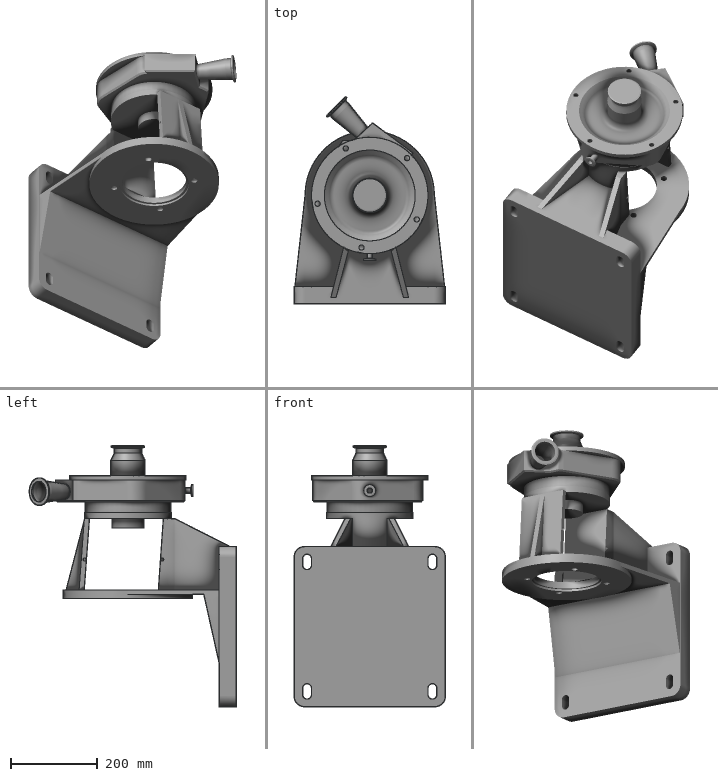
import cadquery as cq
import math


PLATE_WIDTH = 350.0
PLATE_HEIGHT = 370.0
PLATE_THICKNESS = 40.0
PLATE_BACK_Y = -250.0
PLATE_FRONT_Y = PLATE_BACK_Y + PLATE_THICKNESS
PLATE_CORNER_RADIUS = 25.0
SLOT_WIDTH = 20.0
SLOT_LENGTH = 35.0
SLOT_SPACING_X = 289.5
SLOT_SPACING_Z = 299.0

SHELF_THICKNESS = 10.0
SHELF_TOP_Z = 270.0
SHELF_BOTTOM_Z = SHELF_TOP_Z - SHELF_THICKNESS
SHELF_RADIUS = 149.5
SHELF_END_HALF_WIDTH = 173.0
PAD_THICKNESS = 10.0
SHELF_BORE_RADIUS = 75.0
SHELF_RECESS_RADIUS = 80.0
SHELF_RECESS_DEPTH = 5.0
SHELF_BOLT_CIRCLE_RADIUS = 93.5
SHELF_BOLT_DIAMETER = 14.5
SHELF_BOLT_COUNT = 4
SHELF_FIRST_BOLT_ANGLE = 45.0

RIB_THICKNESS = 12.0
WEDGE_FRONT_Y = -175.0
WEDGE_BOTTOM_Z = 101.0
PILLAR_HALF_WIDTH = 57.0
RIB_START_Y = -108.0
RIB_END_SETBACK = 14.5
RIB_END_Y = PLATE_BACK_Y + RIB_END_SETBACK
RIB_END_HALF_WIDTH = 90.0
RIB_INNER_START_X = 40.0
RIB_INNER_START_Y = -91.5
WINDOW_TOP_Y = (-81.5, 88.5)
WINDOW_BOTTOM_Y = (-70.0, 101.0)
BACK_PILLAR_THICKNESS = 12.0
BACK_RIB_BOTTOM_Y = 143.0
PIN_HOLE_DIAMETER = 7.0
PIN_HOLE_Z = 340.0
PIN_HOLE_INSET = 4.0
PIN_HOLE_DEPTH = 12.0

RING_RADIUS = 100.0
RING_BOTTOM_Z = 435.0
RING_TOP_Z = 449.0
NECK_RADIUS = 99.0
SHAFT_RADIUS = 37.5
SHAFT_BOTTOM_Z = 412.5

CASING_BOTTOM_Z = 473.5
CASING_TOP_Z = 524.0
CASING_CORNER_RADIUS = 36.0
CASING_CORNER_CENTRE_RADIUS = 97.0
CASING_CHAMFER = 3.5
CORNER_COUNT = 5
BLOCK_FLAT_LENGTH = 72.0
BLOCK_OUTLINE = [(100.0, 97.5), (6.5, 167.5), (-37.5, 126.5), (-63.0, 126.5)]
FIRST_CORNER_ANGLE = 45.0

COVER_RADIUS = 134.5
COVER_TOP_Z = 533.5
COVER_HOLE_CIRCLE_RADIUS = 122.0
COVER_HOLE_DIAMETER = 12.0
DISH_RIM_RADIUS = 105.0
DISH_CONE_RADIUS = 93.0
DISH_FLOOR_RADIUS = 83.0
DISH_CONE_DEPTH = 10.0
DISH_DEPTH = 14.5

INLET_RADIUS = 40.0
INLET_FILLET_RADIUS = 14.5
INLET_NECK_RADIUS = 32.0
INLET_CONE_BOTTOM_Z = 568.5
INLET_CONE_TOP_Z = 585.5
INLET_FERRULE_RADIUS = 38.5
INLET_TOP_Z = 603.0

OUTLET_Z = 497.0
OUTLET_ANGLE = 135.0
OUTLET_ROOT = (-16.0, 144.0)
OUTLET_LENGTH = 87.5
OUTLET_ROOT_RADIUS = 17.5
OUTLET_RADIUS = 25.5
OUTLET_STRAIGHT_LENGTH = 18.5
OUTLET_WALL = 2.0
OUTLET_FERRULE_RADIUS = 32.0

DRAIN_Z = 499.0
DRAIN_TIP_Y = -151.0
DRAIN_RADIUS = 6.5
DRAIN_BORE_RADIUS = 5.5
DRAIN_BORE_DEPTH = 18.0
DRAIN_FERRULE_RADIUS = 14.0

FERRULE_RIM = 3.5
FERRULE_TAPER = 2.5
FERRULE_BEVEL_WIDTH = 3.0
FERRULE_BEVEL_DEPTH = 0.5


def polar(radius, angle):
    return (radius * math.cos(math.radians(angle)), radius * math.sin(math.radians(angle)))


def cylinder(radius, bottom, top):
    return cq.Workplane("XY").workplane(offset=bottom).circle(radius).extrude(top - bottom)


def prism(points, bottom, top):
    return cq.Workplane("XY").workplane(offset=bottom).polyline(points).close().extrude(top - bottom)


def side_prism(points, half_width):
    """Extrude a (y, z) outline evenly to both sides of X = 0."""
    return cq.Workplane("YZ").polyline(points).close().extrude(half_width, both=True)


def mirrored(body):
    return body.union(body.mirror("YZ"))


def wall_plate():
    middle_z = PLATE_HEIGHT / 2
    plate = (
        cq.Workplane("XY")
        .box(PLATE_WIDTH, PLATE_THICKNESS, PLATE_HEIGHT)
        .edges("|Y").fillet(PLATE_CORNER_RADIUS)
        .translate((0, PLATE_BACK_Y + PLATE_THICKNESS / 2, middle_z))
    )
    slots = (
        cq.Workplane("XZ", origin=(0, PLATE_FRONT_Y, middle_z))
        .rarray(SLOT_SPACING_X, SLOT_SPACING_Z, 2, 2)
        .slot2D(SLOT_LENGTH, SLOT_WIDTH, 90)
        .extrude(PLATE_THICKNESS)
    )
    return plate.cut(slots)


def shelf():
    plate = prism(
        [
            (-SHELF_END_HALF_WIDTH, PLATE_FRONT_Y),
            (-SHELF_RADIUS, 0),
            (SHELF_RADIUS, 0),
            (SHELF_END_HALF_WIDTH, PLATE_FRONT_Y),
        ],
        SHELF_BOTTOM_Z,
        SHELF_TOP_Z,
    )
    pad_bottom = SHELF_BOTTOM_Z - PAD_THICKNESS
    body = cylinder(SHELF_RADIUS, pad_bottom, SHELF_TOP_Z).union(plate)
    body = body.cut(cylinder(SHELF_BORE_RADIUS, pad_bottom, SHELF_TOP_Z))
    body = body.cut(cylinder(SHELF_RECESS_RADIUS, pad_bottom, pad_bottom + SHELF_RECESS_DEPTH))
    bolts = (
        cq.Workplane("XY").workplane(offset=pad_bottom)
        .polarArray(SHELF_BOLT_CIRCLE_RADIUS, SHELF_FIRST_BOLT_ANGLE, 360, SHELF_BOLT_COUNT)
        .circle(SHELF_BOLT_DIAMETER / 2)
        .extrude(SHELF_TOP_Z - pad_bottom)
    )
    return body.cut(bolts)


def lower_wedge():
    """A wedge bracing the shelf from below, flush with the slanted edges of the shelf."""
    edge_slope = (SHELF_END_HALF_WIDTH - SHELF_RADIUS) / -PLATE_FRONT_Y
    front_x = SHELF_RADIUS - WEDGE_FRONT_Y * edge_slope
    plan = prism(
        [
            (front_x, WEDGE_FRONT_Y),
            (SHELF_END_HALF_WIDTH, PLATE_FRONT_Y),
            (-SHELF_END_HALF_WIDTH, PLATE_FRONT_Y),
            (-front_x, WEDGE_FRONT_Y),
        ],
        WEDGE_BOTTOM_Z,
        SHELF_BOTTOM_Z,
    )
    triangle = side_prism(
        [
            (WEDGE_FRONT_Y, SHELF_BOTTOM_Z),
            (PLATE_FRONT_Y, SHELF_BOTTOM_Z),
            (PLATE_FRONT_Y, WEDGE_BOTTOM_Z),
        ],
        PLATE_WIDTH / 2,
    )
    return plan.intersect(triangle)


def front_pillar():
    """A slice of the ring cylinder and two splayed ribs, filled between up to the wall plate top."""
    slab = side_prism(
        [
            (0, SHELF_TOP_Z),
            (0, RING_BOTTOM_Z),
            (-RING_RADIUS, RING_BOTTOM_Z),
            (-RING_RADIUS, SHELF_TOP_Z),
        ],
        PILLAR_HALF_WIDTH,
    )
    slice_body = cylinder(RING_RADIUS, SHELF_TOP_Z, RING_BOTTOM_Z).intersect(slab)
    rib = prism(
        [
            (PILLAR_HALF_WIDTH, 0),
            (PILLAR_HALF_WIDTH, RIB_START_Y),
            (RIB_END_HALF_WIDTH, RIB_END_Y),
            (RIB_END_HALF_WIDTH - RIB_THICKNESS, RIB_END_Y),
            (RIB_INNER_START_X, RIB_INNER_START_Y),
            (RIB_INNER_START_X, 0),
        ],
        SHELF_TOP_Z,
        RING_BOTTOM_Z,
    )
    rib_side = side_prism(
        [
            (0, SHELF_TOP_Z),
            (0, RING_BOTTOM_Z),
            (RIB_START_Y, RING_BOTTOM_Z),
            (RIB_END_Y, PLATE_HEIGHT),
            (RIB_END_Y, SHELF_TOP_Z),
        ],
        PLATE_WIDTH / 2,
    )
    filling = prism(
        [
            (-RIB_INNER_START_X, RIB_INNER_START_Y),
            (RIB_INNER_START_X, RIB_INNER_START_Y),
            (RIB_END_HALF_WIDTH - RIB_THICKNESS, RIB_END_Y),
            (RIB_THICKNESS - RIB_END_HALF_WIDTH, RIB_END_Y),
        ],
        SHELF_TOP_Z,
        PLATE_HEIGHT,
    )
    ribs = mirrored(rib.intersect(rib_side))
    return slice_body.union(filling).union(ribs).cut(window())


def window():
    """The leaning opening between the two pillars."""
    return side_prism(
        [
            (WINDOW_BOTTOM_Y[0], SHELF_TOP_Z),
            (WINDOW_TOP_Y[0], RING_BOTTOM_Z),
            (WINDOW_TOP_Y[1], RING_BOTTOM_Z),
            (WINDOW_BOTTOM_Y[1], SHELF_TOP_Z),
        ],
        PLATE_WIDTH / 2,
    )


def back_pillar():
    """A leaning flat plate, stiffened behind by a triangular rib."""
    bottom_y = WINDOW_BOTTOM_Y[1]
    top_y = WINDOW_TOP_Y[1]
    plate = side_prism(
        [
            (bottom_y, SHELF_TOP_Z),
            (top_y, RING_BOTTOM_Z),
            (top_y + BACK_PILLAR_THICKNESS, RING_BOTTOM_Z),
            (bottom_y + BACK_PILLAR_THICKNESS, SHELF_TOP_Z),
        ],
        PILLAR_HALF_WIDTH,
    )
    rib = side_prism(
        [
            (bottom_y, SHELF_TOP_Z),
            (top_y, RING_BOTTOM_Z),
            (RING_RADIUS, RING_BOTTOM_Z),
            (BACK_RIB_BOTTOM_Y, SHELF_TOP_Z),
        ],
        RIB_THICKNESS / 2,
    )
    return plate.union(rib)


def pin_holes():
    """Blind holes in the sides of both pillars, just behind the window faces."""
    rise = (PIN_HOLE_Z - SHELF_TOP_Z) / (RING_BOTTOM_Z - SHELF_TOP_Z)
    front_y, back_y = [low + (high - low) * rise for low, high in zip(WINDOW_BOTTOM_Y, WINDOW_TOP_Y)]
    centres = [(front_y - PIN_HOLE_INSET, PIN_HOLE_Z), (back_y + PIN_HOLE_INSET, PIN_HOLE_Z)]
    holes = (
        cq.Workplane("YZ", origin=(PILLAR_HALF_WIDTH - PIN_HOLE_DEPTH, 0, 0))
        .pushPoints(centres)
        .circle(PIN_HOLE_DIAMETER / 2)
        .extrude(PIN_HOLE_DEPTH)
    )
    return mirrored(holes)


def bearing_housing():
    ring = cylinder(RING_RADIUS, RING_BOTTOM_Z, RING_TOP_Z)
    neck = cylinder(NECK_RADIUS, RING_TOP_Z, CASING_BOTTOM_Z)
    shaft = cylinder(SHAFT_RADIUS, SHAFT_BOTTOM_Z, RING_BOTTOM_Z)
    return ring.union(neck).union(shaft)


def casing():
    half_step = 180 / CORNER_COUNT
    face_distance = (
        CASING_CORNER_CENTRE_RADIUS * math.cos(math.radians(half_step)) + CASING_CORNER_RADIUS
    )
    tip_radius = face_distance / math.cos(math.radians(half_step))
    tips = [polar(tip_radius, FIRST_CORNER_ANGLE + 2 * half_step * i) for i in range(CORNER_COUNT)]
    pentagon = prism(tips, CASING_BOTTOM_Z, CASING_TOP_Z).edges("|Z").fillet(CASING_CORNER_RADIUS)

    flat_angle = FIRST_CORNER_ANGLE + 3 * half_step
    flat_middle = cq.Vector(*polar(face_distance, flat_angle))
    flat_end = flat_middle + cq.Vector(*polar(BLOCK_FLAT_LENGTH, flat_angle - 90))
    block = prism(
        [(0, 0), *BLOCK_OUTLINE, flat_end.toTuple()[:2], flat_middle.toTuple()[:2]],
        CASING_BOTTOM_Z,
        CASING_TOP_Z,
    )
    return pentagon.union(block).faces("<Z").edges().chamfer(CASING_CHAMFER)


def revolved(outline):
    """Turn an (x, z) outline about the pump axis."""
    return outline.close().revolve(360, (0, 0, 0), (0, 1, 0))


def dish():
    """The ring-shaped hollow of the cover, rounded into the inlet pipe at its inner edge."""
    floor_z = COVER_TOP_Z - DISH_DEPTH
    return revolved(
        cq.Workplane("XZ")
        .moveTo(DISH_RIM_RADIUS, COVER_TOP_Z)
        .lineTo(INLET_RADIUS, COVER_TOP_Z)
        .radiusArc((INLET_RADIUS + INLET_FILLET_RADIUS, floor_z), -INLET_FILLET_RADIUS)
        .lineTo(DISH_FLOOR_RADIUS, floor_z)
        .tangentArcPoint((DISH_CONE_RADIUS, COVER_TOP_Z - DISH_CONE_DEPTH), relative=False)
    )


def cover():
    holes = (
        cq.Workplane("XY").workplane(offset=CASING_TOP_Z)
        .polarArray(COVER_HOLE_CIRCLE_RADIUS, FIRST_CORNER_ANGLE, 360, CORNER_COUNT)
        .circle(COVER_HOLE_DIAMETER / 2)
        .extrude(COVER_TOP_Z - CASING_TOP_Z)
    )
    return cylinder(COVER_RADIUS, CASING_TOP_Z, COVER_TOP_Z).cut(holes)


def ferrule(pipe_radius, rim_radius, end):
    """Outline points (radius, height) of a clamp rim that ends at the given height."""
    return [
        (pipe_radius, end - FERRULE_RIM - FERRULE_TAPER),
        (rim_radius, end - FERRULE_RIM),
        (rim_radius, end - FERRULE_BEVEL_DEPTH),
        (rim_radius - FERRULE_BEVEL_WIDTH, end),
    ]


def inlet():
    return revolved(
        cq.Workplane("XZ")
        .moveTo(0, COVER_TOP_Z - DISH_DEPTH)
        .lineTo(INLET_RADIUS, COVER_TOP_Z - DISH_DEPTH)
        .lineTo(INLET_RADIUS, INLET_CONE_BOTTOM_Z)
        .lineTo(INLET_NECK_RADIUS, INLET_CONE_TOP_Z)
        .polyline(ferrule(INLET_NECK_RADIUS, INLET_FERRULE_RADIUS, INLET_TOP_Z), includeCurrent=True)
        .lineTo(0, INLET_TOP_Z)
    )


def pointed(body, angle, origin):
    """Swing a body turned about the Z axis to lie level at the given angle, and move it to its origin."""
    return body.rotate((0, 0, 0), (0, 1, 0), 90).rotate((0, 0, 0), (0, 0, 1), angle).translate(origin)


def outlet():
    neck_end = OUTLET_LENGTH - OUTLET_STRAIGHT_LENGTH
    spout = revolved(
        cq.Workplane("XZ")
        .moveTo(OUTLET_ROOT_RADIUS - OUTLET_WALL, 0)
        .lineTo(OUTLET_ROOT_RADIUS, 0)
        .lineTo(OUTLET_RADIUS, neck_end)
        .polyline(ferrule(OUTLET_RADIUS, OUTLET_FERRULE_RADIUS, OUTLET_LENGTH), includeCurrent=True)
        .lineTo(OUTLET_RADIUS - OUTLET_WALL, OUTLET_LENGTH)
        .lineTo(OUTLET_RADIUS - OUTLET_WALL, neck_end)
    )
    return pointed(spout, OUTLET_ANGLE, (*OUTLET_ROOT, OUTLET_Z))


def drain():
    """A short stub on the -Y side whose inner end is buried in the casing."""
    length = -DRAIN_TIP_Y - CASING_CORNER_CENTRE_RADIUS
    stub = revolved(
        cq.Workplane("XZ")
        .lineTo(DRAIN_RADIUS, 0)
        .polyline(ferrule(DRAIN_RADIUS, DRAIN_FERRULE_RADIUS, length), includeCurrent=True)
        .lineTo(DRAIN_BORE_RADIUS, length)
        .lineTo(DRAIN_BORE_RADIUS, length - DRAIN_BORE_DEPTH)
        .lineTo(0, length - DRAIN_BORE_DEPTH)
    )
    return pointed(stub, -90, (0, -CASING_CORNER_CENTRE_RADIUS, DRAIN_Z))


bracket = wall_plate().union(shelf()).union(lower_wedge())
pillars = front_pillar().union(back_pillar()).cut(pin_holes())
pump = casing().union(cover()).cut(dish()).union(inlet()).union(outlet()).union(drain())

result = bracket.union(pillars).union(bearing_housing()).union(pump)